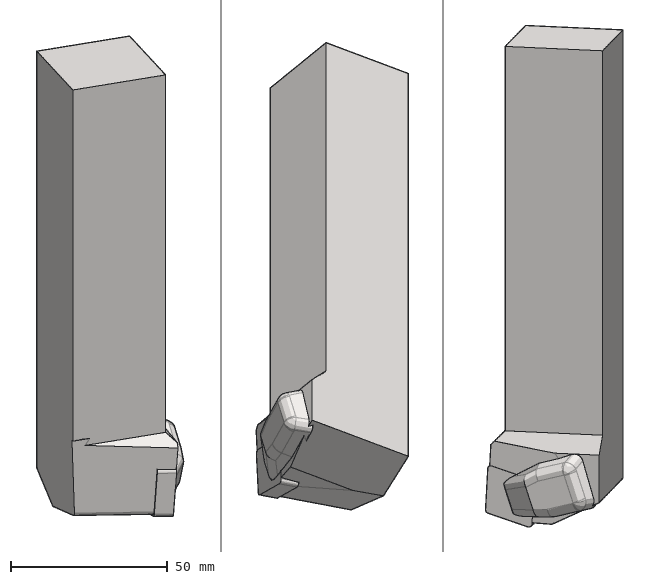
import cadquery as cq
import math

shank_width = 31.75
overall_top = 156.2
head_bottom = 1.5
head_depth = 37.1
ramp_start = 30.7
flank_top = 32.9
head_reach = 45.0
chamfer_rise = 8.3
chamfer_angle = 27.6

corner = (38.19, 31.9, 3.82)
rake_x = 0.134
rake_z = 0.094
edge_angle = 15.0

insert_circle = 15.875
insert_thickness = 6.35
insert_nose = 1.19
corner_angle = 100.0
insert_side = insert_circle / math.sin(math.radians(corner_angle))
insert_overhang = 0.6

clamp_angle = 17.0
clamp_rear = (3.8, 17.0)
clamp_height = 6.23
clamp_foot = 1.5
clamp_root = 8.0
clamp_width = 18.2
clamp_body = 14.0
clamp_length = 28.0
clamp_nose_width = 12.0
clamp_draft = 14.0
clamp_corner = 3.0
clamp_edge = 3.5
nose_slope = 30.0
nose_start = 18.3


def rake_height(x, z):
    """Y of the rake plane above the point (x, z)."""
    return corner[1] - rake_x * (x - corner[0]) + rake_z * (z - corner[2])


def rake_plane(x, z, angle):
    """Plane on the rake surface at (x, z), its x axis turned to the angle in the XZ plane."""
    dx = math.cos(math.radians(angle))
    dz = math.sin(math.radians(angle))
    direction = (dx, -rake_x * dx + rake_z * dz, dz)
    return cq.Plane((x, rake_height(x, z), z), direction, (rake_x, 1, -rake_z))


cutting_plane = rake_plane(corner[0], corner[2], 180 + edge_angle)


def corner_rhombus(side, inset):
    """Rhombus with its corner at the cutting corner, moved inwards from both edges."""
    turn = math.radians(corner_angle)
    start_x = inset / math.tan(turn / 2)
    run = (side * math.cos(turn), side * math.sin(turn))
    points = [
        (start_x, inset),
        (start_x + side, inset),
        (start_x + side + run[0], inset + run[1]),
        (start_x + run[0], inset + run[1]),
    ]
    return cq.Workplane(cutting_plane).polyline(points).close()


def make_insert():
    """Rhombic insert with rounded corners, its top flush with the rake plane."""
    blank = corner_rhombus(insert_side, 0).extrude(-insert_thickness)
    return blank.edges(cq.ParallelDirSelector(cutting_plane.zDir)).fillet(insert_nose)


def make_holder_body():
    """Square shank that flares into the tilted head, with the chamfered heel."""
    chamfer_run = chamfer_rise / math.tan(math.radians(chamfer_angle))
    head_flare = head_reach - shank_width
    front_profile = [
        (0, overall_top),
        (shank_width, overall_top),
        (shank_width, ramp_start),
        (head_reach, ramp_start - head_flare),
        (head_reach, head_bottom),
        (chamfer_run, head_bottom),
        (0, head_bottom + chamfer_rise),
    ]
    side_profile = [
        (0, head_bottom),
        (0, overall_top),
        (shank_width, overall_top),
        (shank_width, ramp_start),
        (head_depth, ramp_start - (head_depth - shank_width)),
        (head_depth, head_bottom),
    ]
    across = cq.Workplane("XZ").polyline(front_profile).close().extrude(-head_depth)
    along = cq.Workplane("YZ").polyline(side_profile).close().extrude(head_reach)
    envelope = across.intersect(along)

    ample = 2 * head_reach
    wedge = corner_rhombus(ample, insert_overhang).extrude(-ample)
    corner_edge = wedge.edges(cq.ParallelDirSelector(cutting_plane.zDir)).edges(">X")
    wedge = corner_edge.fillet(insert_nose)
    head_zone = cq.Workplane("XY").box(ample, ample, flank_top, centered=(True, True, False))
    head = envelope.intersect(head_zone).intersect(wedge)
    shank = envelope.cut(head_zone)
    return shank.union(head)


def make_clamp():
    """Clamp built flat with its rear wall on the local Y axis, then set on the rake plane."""
    half_width = clamp_width / 2
    half_nose = clamp_nose_width / 2
    outline = [
        (0, -half_width),
        (clamp_body, -half_width),
        (clamp_length, -half_nose),
        (clamp_length, half_nose),
        (clamp_body, half_width),
        (0, half_width),
    ]
    flare = clamp_root * math.tan(math.radians(clamp_draft))
    root = cq.Workplane("XY").workplane(offset=-clamp_root).polyline(outline).close()
    root = root.offset2D(flare, "intersection")
    block = root.extrude(clamp_root + clamp_height, taper=clamp_draft)
    block = block.edges("not #Z").edges("<X").fillet(clamp_corner)

    far = 2 * clamp_length
    slope = math.radians(nose_slope)
    nose_profile = [
        (nose_start, clamp_height),
        (nose_start + far, clamp_height - far * math.tan(slope)),
        (nose_start + far, clamp_height),
    ]
    nose_cut = cq.Workplane("XZ").polyline(nose_profile).close().extrude(far, both=True)
    block = block.cut(nose_cut)

    slope_direction = cq.Vector(math.sin(slope), 0, math.cos(slope))
    rear_edge = block.faces(">Z").edges("<X")
    top_sides = block.faces(">Z").edges("not |Y")
    nose_sides = block.faces(cq.ParallelDirSelector(slope_direction)).edges("not |Y")
    block = block.newObject(rear_edge.vals() + top_sides.vals() + nose_sides.vals()).fillet(clamp_edge)

    keep = cq.Workplane("XY").workplane(offset=-clamp_foot).rect(2 * far, 2 * far).extrude(far)
    seat = rake_plane(clamp_rear[0], clamp_rear[1], -clamp_angle)
    return block.intersect(keep).val().moved(cq.Location(seat))


insert = make_insert()
clamp = make_clamp()
body = make_holder_body()
holder = body.union(clamp).cut(insert)
result = cq.Compound.makeCompound([holder.val(), insert.val()])